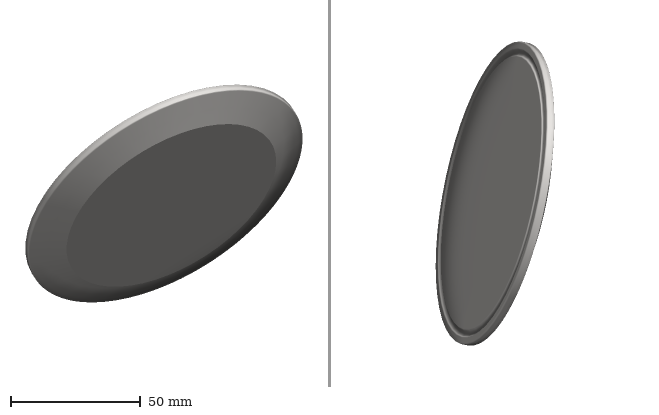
import cadquery as cq
import math

outer_diameter = 118.9
thickness = 8.0
outer_radius = outer_diameter / 2

rim_width = 3.1
back_face_radius = 45.4
rim_fillet = 0.6

groove_middle_radius = 55.2
groove_depth = 1.1
groove_arc_radius = 1.4
lip_radius = 0.6

groove_arc_centre_x = groove_depth - groove_arc_radius
centre_distance = groove_arc_radius + lip_radius
lip_offset = math.sqrt(centre_distance**2 - (lip_radius - groove_arc_centre_x) ** 2)
touch_fraction = groove_arc_radius / centre_distance
touch_offset = touch_fraction * lip_offset
touch_x = groove_arc_centre_x + touch_fraction * (lip_radius - groove_arc_centre_x)


def make_disc():
    """Grooved disc with a cylindrical rim and a cone tapering to the back face."""
    profile = (
        cq.Workplane("XY")
        .lineTo(0, groove_middle_radius - lip_offset)
        .tangentArcPoint((touch_x, groove_middle_radius - touch_offset), relative=False)
        .threePointArc((groove_depth, groove_middle_radius), (touch_x, groove_middle_radius + touch_offset))
        .tangentArcPoint((0, groove_middle_radius + lip_offset), relative=False)
        .lineTo(0, outer_radius)
        .lineTo(rim_width, outer_radius)
        .lineTo(thickness, back_face_radius)
        .lineTo(thickness, 0)
        .close()
    )
    return profile.revolve(360, (0, 0, 0), (1, 0, 0))


def round_rim(disc):
    """Round the front and back edges of the cylindrical rim."""
    return disc.edges(cq.selectors.RadiusNthSelector(-1)).fillet(rim_fillet)


result = round_rim(make_disc())